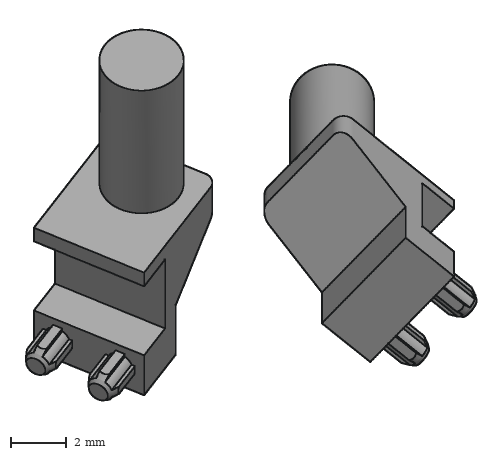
import cadquery as cq

body_width = 4.52
body_depth = 5.33
body_height = 6.35
flange_thickness = 0.71
foot_height = 2.07
recess_depth = 1.52
back_wall_height = 1.26
slope_bottom = 2.57
corner_radius = 0.5

total_height = 12.7
post_diameter = 3.02

peg_length = 1.6
peg_spacing = 2.57
peg_center_height = 1.13
core_radius = 0.502
rib_span = 1.21
rib_width = 0.38
rib_corner_radius = ((rib_span / 2) ** 2 + (rib_width / 2) ** 2) ** 0.5
tip_radius = 0.4
tip_cone_length = 0.15
rib_cone_length = 0.29


def make_body():
    """Side profile in YZ, extruded across the width, with rounded upper back corners."""
    foot_back = body_depth - post_diameter
    flange_bottom = body_height - flange_thickness
    profile = [
        (0, 0),
        (0, foot_height),
        (recess_depth, foot_height),
        (recess_depth, flange_bottom),
        (0, flange_bottom),
        (0, body_height),
        (body_depth, body_height),
        (body_depth, body_height - back_wall_height),
        (foot_back, slope_bottom),
        (foot_back, 0),
    ]
    body = cq.Workplane("YZ").polyline(profile).close().extrude(body_width / 2, both=True)
    rounded_envelope = (
        cq.Workplane("XY")
        .rect(body_width, 2 * body_depth)
        .extrude(body_height)
        .edges("|Z")
        .fillet(corner_radius)
    )
    return body.intersect(rounded_envelope)


def make_post():
    return (
        cq.Workplane("XY", origin=(0, body_depth - post_diameter / 2, body_height))
        .circle(post_diameter / 2)
        .extrude(total_height - body_height)
    )


def make_peg(x):
    """Round core with four ribs, trimmed at the tip by two successive cones."""
    front_plane = cq.Workplane("XZ")
    core = front_plane.circle(core_radius).extrude(peg_length)
    side_ribs = front_plane.rect(rib_span, rib_width).extrude(peg_length)
    upright_ribs = front_plane.rect(rib_width, rib_span).extrude(peg_length)
    tip_cone_start = peg_length - tip_cone_length
    tapered_envelope = (
        cq.Workplane("XY")
        .moveTo(0, 0)
        .lineTo(rib_corner_radius, 0)
        .lineTo(rib_corner_radius, -(tip_cone_start - rib_cone_length))
        .lineTo(core_radius, -tip_cone_start)
        .lineTo(tip_radius, -peg_length)
        .lineTo(0, -peg_length)
        .close()
        .revolve(360, (0, 0, 0), (0, 1, 0))
    )
    peg = core.union(side_ribs).union(upright_ribs).intersect(tapered_envelope)
    return peg.translate((x, 0, peg_center_height))


result = make_body().union(make_post())
for side in (-1, 1):
    result = result.union(make_peg(side * peg_spacing / 2))